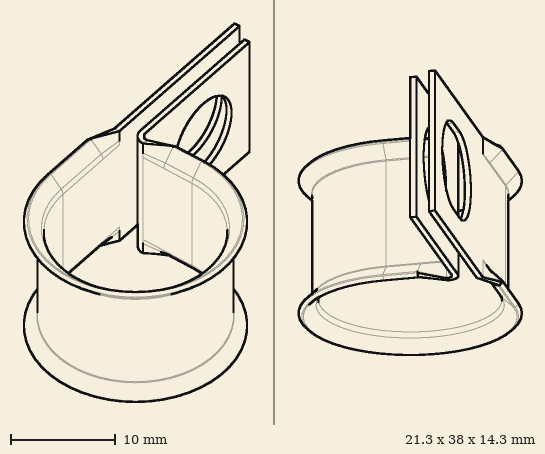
import cadquery as cq
import math

height = 14.25
half_height = height / 2
thickness = 0.6
rim_radius = 10.65
outer_radius = 9.35
loop_angle = 270
inner_radius = outer_radius - thickness

flare_bend_inside = 0.15
flare_bend_outside = flare_bend_inside + thickness
flare_angle = math.radians(45)
edge_radius = 0.1

long_leg_end = 27.37
short_leg_end = 26.2
short_leg_left = -7.22
corner_outside = 1.3
corner_inside = corner_outside - thickness

flare_run = 2.55
long_leg_start = inner_radius
long_flare_start = long_leg_start - flare_run
corner_x = short_leg_left + corner_outside
corner_y = inner_radius + corner_outside
short_flare_start = corner_x + flare_run

hole_y = 19.0
hole_diameter = 8.75
slot_length = 11.18

bend_center_r = outer_radius + flare_bend_inside
edge_spacing = thickness - 2 * edge_radius
tip_center = (rim_radius - edge_radius, half_height - edge_radius - edge_spacing * math.sin(flare_angle))
top_center = (rim_radius - edge_radius - edge_spacing * math.cos(flare_angle), half_height - edge_radius)
tip_start_r = tip_center[0] + edge_radius * math.sin(flare_angle)
tip_start_z = tip_center[1] - edge_radius * math.cos(flare_angle)
bend_inside_end_r = bend_center_r - flare_bend_inside * math.cos(flare_angle)
flare_rise = (tip_start_r - bend_inside_end_r) * math.tan(flare_angle)
bend_z = tip_start_z - flare_rise - flare_bend_inside * math.sin(flare_angle)


def bend_point(radius, angle):
    """Point on a bend of the given radius, angle measured from the bend's start."""
    return (bend_center_r - radius * math.cos(angle), bend_z + radius * math.sin(angle))


def edge_point(center, angle):
    """Point on a rounded rim edge, angle measured from the radial direction."""
    return (center[0] + edge_radius * math.cos(angle), center[1] + edge_radius * math.sin(angle))


def flared_section(plane):
    return (
        cq.Workplane(plane)
        .moveTo(inner_radius, 0)
        .lineTo(outer_radius, 0)
        .lineTo(outer_radius, bend_z)
        .threePointArc(
            bend_point(flare_bend_inside, flare_angle / 2), bend_point(flare_bend_inside, flare_angle)
        )
        .lineTo(tip_start_r, tip_start_z)
        .threePointArc(edge_point(tip_center, 0), edge_point(tip_center, flare_angle))
        .lineTo(*edge_point(top_center, flare_angle))
        .threePointArc(
            edge_point(top_center, math.pi / 2), edge_point(top_center, math.pi / 2 + flare_angle)
        )
        .lineTo(*bend_point(flare_bend_outside, flare_angle))
        .threePointArc(bend_point(flare_bend_outside, flare_angle / 2), (inner_radius, bend_z))
        .close()
    )


def flat_section(plane):
    """Plain strip section, with its sides divided to match the flared section."""
    return (
        cq.Workplane(plane)
        .moveTo(inner_radius, 0)
        .lineTo(outer_radius, 0)
        .lineTo(outer_radius, bend_z)
        .lineTo(outer_radius, bend_point(flare_bend_inside, flare_angle)[1])
        .lineTo(outer_radius, half_height - edge_radius)
        .lineTo(outer_radius, half_height)
        .lineTo(inner_radius, half_height)
        .lineTo(inner_radius, half_height - edge_radius)
        .lineTo(inner_radius, bend_point(flare_bend_outside, flare_angle)[1])
        .lineTo(inner_radius, bend_z)
        .close()
    )


def flared_strip(outward, along, straight_length):
    """Straight flared strip tangent to the loop, fading into a flat section."""

    direction = cq.Vector(*along)
    section_normal = cq.Vector(*outward).cross(cq.Vector(0, 0, 1))

    def plane_at(distance):
        return cq.Plane(origin=direction * distance, xDir=outward, normal=section_normal)

    straight = cq.Solid.extrudeLinear(flared_section(plane_at(0)).val(), [], direction * straight_length)
    fade = cq.Solid.makeLoft(
        [
            flared_section(plane_at(straight_length)).val(),
            flat_section(plane_at(straight_length + flare_run)).val(),
        ],
        True,
    )
    return cq.Workplane(obj=straight).union(cq.Workplane(obj=fade))


def loop():
    """Three quarters of a turn, open between -X and +Y."""
    start = cq.Plane(origin=(0, 0, 0), xDir=(-1, 0, 0), normal=(0, 1, 0))
    return flared_section(start).revolve(loop_angle, (0, 0), (0, 1))


def long_leg():
    leg = (
        cq.Workplane("XY", origin=(-outer_radius, long_leg_start, 0))
        .box(thickness, long_leg_end - long_leg_start, height, centered=(False, False, True))
    )
    slot = (
        cq.Workplane("YZ", origin=(-outer_radius, hole_y, 0))
        .slot2D(slot_length, hole_diameter)
        .extrude(thickness)
    )
    return leg.cut(slot)


def short_leg():
    diagonal = math.sqrt(0.5)
    leg = (
        cq.Workplane("XY", origin=(0, 0, -half_height))
        .moveTo(corner_x, inner_radius)
        .threePointArc(
            (corner_x - corner_outside * diagonal, corner_y - corner_outside * diagonal),
            (short_leg_left, corner_y),
        )
        .lineTo(short_leg_left, short_leg_end)
        .lineTo(short_leg_left + thickness, short_leg_end)
        .lineTo(short_leg_left + thickness, corner_y)
        .threePointArc(
            (corner_x - corner_inside * diagonal, corner_y - corner_inside * diagonal),
            (corner_x, outer_radius),
        )
        .close()
        .extrude(height)
    )
    hole = (
        cq.Workplane("YZ", origin=(short_leg_left, hole_y, 0))
        .circle(hole_diameter / 2)
        .extrude(thickness)
    )
    return leg.cut(hole)


upper_half = (
    loop()
    .union(flared_strip((-1, 0, 0), (0, 1, 0), long_flare_start))
    .union(flared_strip((0, 1, 0), (-1, 0, 0), -short_flare_start))
)
lower_half = upper_half.mirror("XY")
result = upper_half.union(lower_half).union(long_leg()).union(short_leg())